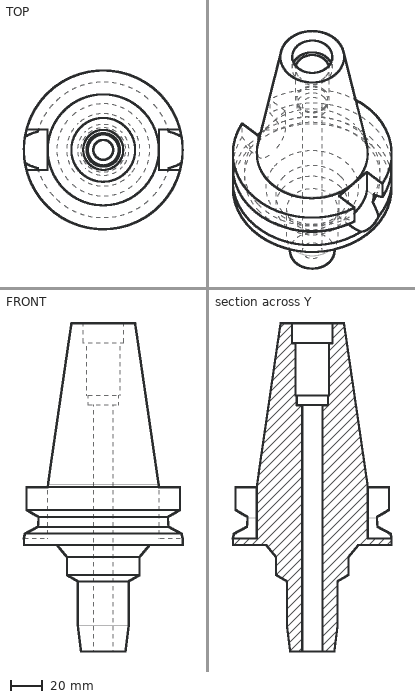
import cadquery as cq

total_length = 206.8
taper_length = 101.7
taper_rate = 7 / 24
gauge_radius = 35.0
taper_end_radius = gauge_radius - taper_rate * taper_length / 2
nose_z = taper_length - total_length

flange_radius = 50.0
flange_top_z = -1.5
flange_bottom_z = -38.0
groove_radius = 42.8
groove_floor_width = 6.2
groove_side_height = 4.3
upper_rim_height = 14.5
groove_top_z = flange_top_z - upper_rim_height
groove_floor_top_z = groove_top_z - groove_side_height
groove_floor_bottom_z = groove_floor_top_z - groove_floor_width
groove_bottom_z = groove_floor_bottom_z - groove_side_height

collar_root_radius = 29.2
collar_radius = 23.0
collar_top_z = -45.5
collar_bottom_z = -56.9
nose_radius = 16.1
nose_top_z = -60.8
nose_taper_z = -88.5
nose_end_radius = 14.0

mouth_radius = 12.6
mouth_depth = 12.6
thread_radius = 10.5
thread_depth = 45.5
seat_radius = 9.7
seat_depth = 51.7
through_radius = 6.2

slot_width = 25.6
slot_floor_x = gauge_radius
slot_bottom_z = -33.7
slot_arc_z = slot_bottom_z + slot_width / 2


def turned_body():
    """Revolve the outer half-profile about Z."""
    profile = [
        (0, taper_length),
        (taper_end_radius, taper_length),
        (gauge_radius, 0),
        (gauge_radius, flange_top_z),
        (flange_radius, flange_top_z),
        (flange_radius, groove_top_z),
        (groove_radius, groove_floor_top_z),
        (groove_radius, groove_floor_bottom_z),
        (flange_radius, groove_bottom_z),
        (flange_radius, flange_bottom_z),
        (collar_root_radius, flange_bottom_z),
        (collar_radius, collar_top_z),
        (collar_radius, collar_bottom_z),
        (nose_radius, nose_top_z),
        (nose_radius, nose_taper_z),
        (nose_end_radius, nose_z),
        (0, nose_z),
    ]
    return cq.Workplane("XZ").polyline(profile).close().revolve(360, (0, 0), (0, 1))


def bore(radius, depth):
    """Cylinder sunk from the small end of the taper."""
    return cq.Workplane("XY", origin=(0, 0, taper_length)).circle(radius).extrude(-depth)


def drive_slot(side):
    """Round-bottomed slot, open at the top and outside; side is -1 or +1 along X."""
    half_width = slot_width / 2
    return (
        cq.Workplane("YZ", origin=(side * slot_floor_x, 0, 0))
        .moveTo(-half_width, flange_top_z)
        .lineTo(-half_width, slot_arc_z)
        .threePointArc((0, slot_bottom_z), (half_width, slot_arc_z))
        .lineTo(half_width, flange_top_z)
        .close()
        .extrude(side * flange_radius)
    )


result = turned_body()

bore_steps = [
    (mouth_radius, mouth_depth),
    (thread_radius, thread_depth),
    (seat_radius, seat_depth),
    (through_radius, total_length),
]
for step_radius, step_depth in bore_steps:
    result = result.cut(bore(step_radius, step_depth))

for slot_side in (-1, 1):
    result = result.cut(drive_slot(slot_side))